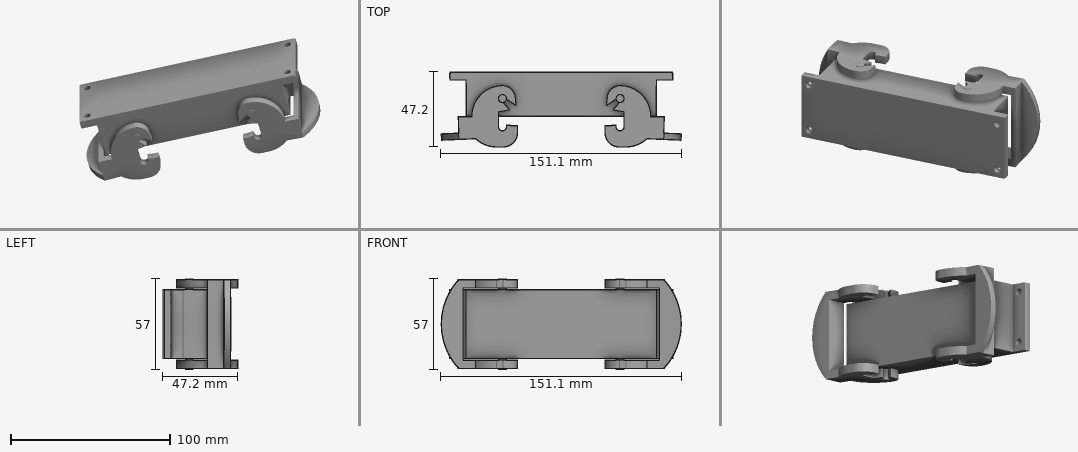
import cadquery as cq
import math


HOUSING_LENGTH = 119.6
HOUSING_HEIGHT = 43.3
HOUSING_DEPTH = 27.9
REAR_DEPTH = 12.85
REAR_DRAFT = 1.2

GASKET_LENGTH = 139.8
GASKET_DEPTH = 1.0
FLANGE_LENGTH = 140.4
FLANGE_DEPTH = 5.1
HOLE_DIAMETER = 4.5
HOLE_SPACING_X = 130.0
HOLE_SPACING_Z = 32.0

PIN_DIAMETER = 5.0
PIN_SPAN = 57.0
PIN_X = -37.0
PIN_DEPTH = 16.65

LEVER_SPAN = 56.0
LEVER_INNER_SPAN = 45.2
ARM_RADIUS = 19.2
LOBE_RADIUS = 8.1
SHOULDER_DEPTH = 28.1
BLOCK_X = -64.85
OPENING_X = -61.65

NOTCH_UPPER_TIP = (-28.4, 21.1)
NOTCH_LOWER_TIP = (-32.5, 23.8)
NOTCH_UPPER_ROOT = (-35.1, 16.55)
NOTCH_LOWER_ROOT = (-37.1, 18.55)

THROAT_X = -39.4
THROAT_TOP_DEPTH = 25.0
THROAT_RADIUS = 2.45
THROAT_CENTER_DEPTH = 34.45
HOOK_TIP_X = -27.45
HOOK_TIP_DEPTH = 33.75
HOOK_LIP_X = -31.9
HOOK_LIP_RISE = 0.4
HOOK_RADIUS = 9.1
HOOK_DEPTH = 47.19
HOOK_FLAT_START_X = -40.7
HOOK_START_X = -53.8

HANDLE_TILT = 2.45
HANDLE_THICKNESS = 4.1
HANDLE_CORNER = (-64.4, 42.45)
HANDLE_REACH = 10.98
HANDLE_ROOT = 2.0


def box(x_min, x_max, depth_min, depth_max, height):
    """Box centred on Z = 0 between two X values and two depths."""
    return (
        cq.Workplane("XY")
        .box(x_max - x_min, depth_max - depth_min, height)
        .translate(((x_min + x_max) / 2, -(depth_min + depth_max) / 2, 0))
    )


def circle_depth(x, center_x, center_depth, radius):
    """Depth of the front side of a circle at a given X."""
    return center_depth + math.sqrt(radius**2 - (x - center_x) ** 2)


def drafted_slab(length, depth_min, depth_max):
    """Slab whose end faces lean inwards from depth_min to depth_max."""
    inset = (depth_max - depth_min) * math.tan(math.radians(REAR_DRAFT))
    half_length = length / 2
    return (
        cq.Workplane("XY", origin=(0, 0, -HOUSING_HEIGHT / 2))
        .polyline([
            (-half_length, -depth_min),
            (half_length, -depth_min),
            (half_length - inset, -depth_max),
            (-half_length + inset, -depth_max),
        ])
        .close()
        .extrude(HOUSING_HEIGHT)
    )


def make_housing():
    draft_gain = 2 * (REAR_DEPTH - GASKET_DEPTH) * math.tan(math.radians(REAR_DRAFT))
    body = box(-HOUSING_LENGTH / 2, HOUSING_LENGTH / 2, 0, HOUSING_DEPTH, HOUSING_HEIGHT)
    rear = drafted_slab(HOUSING_LENGTH + draft_gain, GASKET_DEPTH, REAR_DEPTH)
    gasket = box(-GASKET_LENGTH / 2, GASKET_LENGTH / 2, 0, GASKET_DEPTH, HOUSING_HEIGHT)
    flange = drafted_slab(FLANGE_LENGTH, GASKET_DEPTH, FLANGE_DEPTH)
    holes = (
        cq.Workplane("XZ")
        .rarray(HOLE_SPACING_X, HOLE_SPACING_Z, 2, 2)
        .circle(HOLE_DIAMETER / 2)
        .extrude(FLANGE_DEPTH)
    )
    return body.union(rear).union(gasket).union(flange).cut(holes)


def make_side_plates():
    """The two hooked side plates and the end block that joins them."""
    tilt_slope = math.tan(math.radians(HANDLE_TILT))
    corner_x, corner_depth = HANDLE_CORNER
    hook_start_depth = corner_depth - (HOOK_START_X - corner_x) * tilt_slope
    diagonal = math.sqrt(0.5)

    arm_start_x = PIN_X - ARM_RADIUS
    arm_center_depth = PIN_DEPTH - LOBE_RADIUS + ARM_RADIUS
    lobe_end_x = PIN_X + LOBE_RADIUS
    throat_center_x = THROAT_X + THROAT_RADIUS
    throat_end_x = throat_center_x + THROAT_RADIUS
    hook_center_x = HOOK_TIP_X - HOOK_RADIUS
    hook_center_depth = HOOK_DEPTH - HOOK_RADIUS
    sweep_mid_x = (HOOK_START_X + HOOK_FLAT_START_X) / 2
    sweep_mid_depth = circle_depth(
        sweep_mid_x, HOOK_FLAT_START_X, HOOK_DEPTH - ARM_RADIUS, ARM_RADIUS
    )

    def at(x, depth):
        return (x, -depth)

    profile = (
        cq.Workplane("XY", origin=(0, 0, -LEVER_SPAN / 2))
        .moveTo(*at(BLOCK_X, SHOULDER_DEPTH))
        .lineTo(*at(arm_start_x, SHOULDER_DEPTH))
        .lineTo(*at(arm_start_x, arm_center_depth))
        .threePointArc(
            at(PIN_X - ARM_RADIUS * diagonal, arm_center_depth - ARM_RADIUS * diagonal),
            at(PIN_X, PIN_DEPTH - LOBE_RADIUS),
        )
        .threePointArc(
            at(PIN_X + LOBE_RADIUS * diagonal, PIN_DEPTH - LOBE_RADIUS * diagonal),
            at(lobe_end_x, PIN_DEPTH),
        )
        .lineTo(*at(*NOTCH_UPPER_TIP))
        .lineTo(*at(*NOTCH_UPPER_ROOT))
        .lineTo(*at(*NOTCH_LOWER_ROOT))
        .lineTo(*at(*NOTCH_LOWER_TIP))
        .lineTo(*at(THROAT_X, THROAT_TOP_DEPTH))
        .lineTo(*at(THROAT_X, THROAT_CENTER_DEPTH))
        .threePointArc(
            at(throat_center_x, THROAT_CENTER_DEPTH + THROAT_RADIUS),
            at(throat_end_x, THROAT_CENTER_DEPTH),
        )
        .lineTo(*at(throat_end_x, HOOK_TIP_DEPTH - HOOK_LIP_RISE))
        .lineTo(*at(HOOK_LIP_X, HOOK_TIP_DEPTH - HOOK_LIP_RISE))
        .lineTo(*at(HOOK_LIP_X, HOOK_TIP_DEPTH))
        .lineTo(*at(HOOK_TIP_X, HOOK_TIP_DEPTH))
        .lineTo(*at(HOOK_TIP_X, hook_center_depth))
        .threePointArc(
            at(hook_center_x + HOOK_RADIUS * diagonal, hook_center_depth + HOOK_RADIUS * diagonal),
            at(hook_center_x, HOOK_DEPTH),
        )
        .lineTo(*at(HOOK_FLAT_START_X, HOOK_DEPTH))
        .threePointArc(at(sweep_mid_x, sweep_mid_depth), at(HOOK_START_X, hook_start_depth))
        .lineTo(*at(corner_x, corner_depth))
        .close()
        .extrude(LEVER_SPAN)
    )
    opening = box(OPENING_X, 0, 0, 2 * HOOK_DEPTH, LEVER_INNER_SPAN)
    return profile.cut(opening)


def make_handle():
    """Tilted handle slab with a rounded outer edge."""
    corner_x, corner_depth = HANDLE_CORNER
    half_span = LEVER_SPAN / 2
    return (
        cq.Workplane("XZ", origin=(corner_x, -corner_depth, 0))
        .moveTo(0, -half_span)
        .threePointArc((-HANDLE_REACH, 0), (0, half_span))
        .lineTo(HANDLE_ROOT, half_span)
        .lineTo(HANDLE_ROOT, -half_span)
        .close()
        .extrude(-HANDLE_THICKNESS)
        .rotate((corner_x, -corner_depth, 0), (corner_x, -corner_depth, 1), HANDLE_TILT)
    )


def make_pin():
    """Pivot pin running through the housing and both side plates."""
    return (
        cq.Workplane("XY", origin=(PIN_X, -PIN_DEPTH, -PIN_SPAN / 2))
        .circle(PIN_DIAMETER / 2)
        .extrude(PIN_SPAN)
    )


lever = make_side_plates().union(make_handle()).union(make_pin())
result = make_housing().union(lever).union(lever.mirror("YZ")).clean()